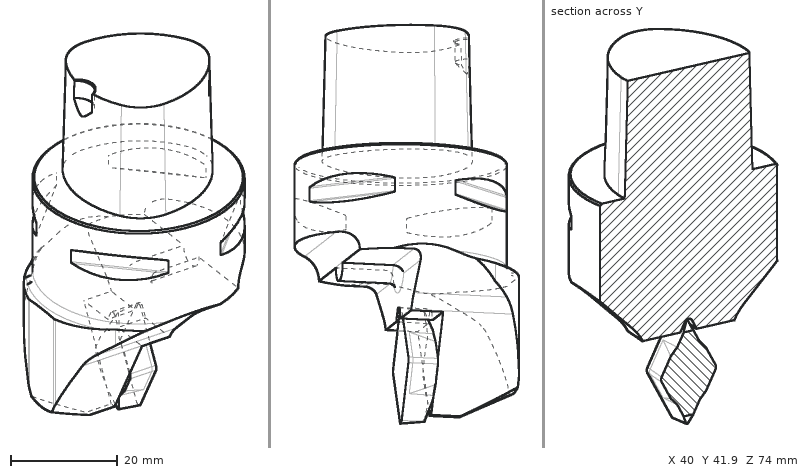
import cadquery as cq
import math


overall_depth = 41.9
overall_length = 74.0

shank_height = 24.0
shank_taper = 1.5
lobe_radius = 8.65
lobe_offset = 6.4
key_drill_radius = 3.4
key_drill_y = -14.0
key_drill_bottom = 20.0
key_drill_chamfer = 0.2

collar_diameter = 40.0
collar_bottom = -20.2
collar_chamfer = 0.4
slot_z = -8.1
slot_floor_distance = 17.7
slot_floor_height = 2.75
slot_mouth_height = 5.25
slot_corner_radius = 0.3

step_y = 11.9
step_edge_z = -16.05
step_drop = 0.3
step_corner_radius = 3.7

shaft_radius = 20.7
back_radius = 17.6
back_center_y = -4.8
shaft_front_y = 0.45
shaft_bottom = -48.2
shaft_edge_radius = 1.8
neck_radius = 1.2
shelf_outer_radius = 22.6
shelf_outer_z = -21.8
front_fillet_diameter = 3.5

flank_top_z = -19.3
flank_knee_x = 10.9
flank_knee_radius = 11.5

bevel_start_y = -11.5
bevel_angle = 25.4
bevel_round_radius = 11.85
bevel_half_width = 5.2
bevel_length = 16.3

rib_diameter = 5.25
rib_bottom = -23.15

half_angle = math.radians(27.5)
insert_half_width = 6.3
insert_thickness = 5.8
insert_relief = 7.0
insert_nose_radius = 0.8
insert_side_radius = 1.25
land_depth = 0.9
land_half_height = 5.9
land_end_angle = 42.0
land_end_taper = 5.9
bottom_slope_start = 6.5
bottom_slope_angle = 16.5

seat_y = -insert_thickness
seat_roof_z = -30.2

collar_radius = collar_diameter / 2
shaft_back_y = collar_radius - overall_depth
front_fillet_radius = front_fillet_diameter / 2
rib_radius = rib_diameter / 2
insert_half_length = insert_half_width / math.tan(half_angle)
nose_setback = insert_nose_radius * (1 / math.sin(half_angle) - 1)
insert_center_z = shank_height - overall_length + insert_half_length - nose_setback

quarter_mid = math.sin(math.radians(45))

outer_reach = 29.6
margin = 0.75


def lobed_wire():
    """Rounded triangle of constant width: each flank arc shares its centre with the opposite lobe."""
    flank_radius = lobe_radius + lobe_offset * math.sqrt(3)

    def point(center_angle, radius, direction):
        c = math.radians(center_angle)
        d = math.radians(direction)
        return (
            lobe_offset * math.cos(c) + radius * math.cos(d),
            lobe_offset * math.sin(c) + radius * math.sin(d),
        )

    outline = cq.Workplane("XY").moveTo(*point(90, lobe_radius, 60))
    for lobe in (90, 210, 330):
        outline = outline.threePointArc(point(lobe, lobe_radius, lobe), point(lobe, lobe_radius, lobe + 30))
        opposite = lobe + 240
        outline = outline.threePointArc(
            point(opposite, flank_radius, lobe + 60), point(opposite, flank_radius, lobe + 90)
        )
    return outline.close()


def make_shank():
    """Tapered shank with a pointed drill hole breaking out of its -Y side."""
    shank = lobed_wire().extrude(shank_height, taper=shank_taper)
    drill = (
        cq.Workplane("XZ")
        .moveTo(0, key_drill_bottom - key_drill_radius)
        .lineTo(key_drill_radius, key_drill_bottom)
        .lineTo(key_drill_radius, shank_height - key_drill_chamfer)
        .lineTo(key_drill_radius + key_drill_chamfer, shank_height)
        .lineTo(0, shank_height)
        .close()
        .revolve(360, (0, 0, 0), (0, 1, 0))
        .translate((0, key_drill_y, 0))
    )
    return shank.cut(drill)


def gripper_slot(angle):
    """Trapezoidal groove with its floor square to the given direction."""
    depth = collar_radius - slot_floor_distance
    flare = (slot_mouth_height - slot_floor_height) / 2 / depth
    mouth_distance = collar_radius + margin
    mouth_half = slot_floor_height / 2 + flare * (mouth_distance - slot_floor_distance)
    return (
        cq.Workplane("XZ")
        .polyline([
            (slot_floor_distance, slot_z - slot_floor_height / 2),
            (mouth_distance, slot_z - mouth_half),
            (mouth_distance, slot_z + mouth_half),
            (slot_floor_distance, slot_z + slot_floor_height / 2),
        ])
        .close()
        .extrude(collar_radius, both=True)
        .edges("<X")
        .fillet(slot_corner_radius)
        .rotate((0, 0, 0), (0, 0, 1), angle)
    )


def collar_step():
    """Cutter along X that removes the lower +Y edge of the collar."""
    r = step_corner_radius
    corner_z = step_edge_z - step_drop
    return (
        cq.Workplane("YZ")
        .moveTo(outer_reach, step_edge_z)
        .lineTo(collar_radius, step_edge_z)
        .lineTo(step_y + r, corner_z)
        .threePointArc(
            (step_y + r * (1 - quarter_mid), corner_z - r * (1 - quarter_mid)),
            (step_y, corner_z - r),
        )
        .lineTo(step_y, shaft_bottom)
        .lineTo(outer_reach, shaft_bottom)
        .close()
        .extrude(outer_reach, both=True)
    )


def make_collar():
    """Round collar with a chamfered top edge and four gripper slots."""
    collar = cq.Workplane("XY").circle(collar_radius).extrude(collar_bottom)
    collar = collar.faces(">Z").chamfer(collar_chamfer)
    for angle in (45, 135, 225, 315):
        collar = collar.cut(gripper_slot(angle))
    return collar


def make_shaft():
    """Round-backed shaft with a rear flat, widening from the collar over a filleted shelf."""
    height = collar_bottom - shaft_bottom
    base = cq.Workplane("XY", origin=(0, 0, shaft_bottom))
    back = base.center(0, back_center_y).circle(back_radius).extrude(height)
    column = base.circle(shaft_radius).extrude(height).union(back)
    slab = cq.Workplane("XY").box(
        2 * outer_reach, shaft_front_y - shaft_back_y, 2 * outer_reach, centered=(True, False, True)
    ).translate((0, shaft_back_y, shaft_bottom))
    column = column.intersect(slab)
    column = column.faces("<Y").edges("|Z").fillet(shaft_edge_radius)

    shelf = (
        cq.Workplane("XZ")
        .moveTo(0, collar_bottom)
        .lineTo(collar_radius, collar_bottom)
        .threePointArc(
            (collar_radius + neck_radius * (1 - quarter_mid), collar_bottom - neck_radius * quarter_mid),
            (collar_radius + neck_radius, collar_bottom - neck_radius),
        )
        .lineTo(shelf_outer_radius, shelf_outer_z)
        .lineTo(shelf_outer_radius, shaft_bottom)
        .lineTo(0, shaft_bottom)
        .close()
        .revolve(360, (0, 0, 0), (0, 1, 0))
    )
    return column.intersect(shelf)


def front_fillet():
    """Concave fillet along X between the front face of the shaft and the collar."""
    r = front_fillet_radius
    return (
        cq.Workplane("YZ")
        .moveTo(shaft_front_y, collar_bottom)
        .lineTo(shaft_front_y, collar_bottom - r)
        .threePointArc(
            (shaft_front_y + r * (1 - quarter_mid), collar_bottom - r * (1 - quarter_mid)),
            (shaft_front_y + r, collar_bottom),
        )
        .close()
        .extrude(collar_radius, both=True)
    )


def make_rib():
    """Round rib along Y, half sunk in the collar, flaring into the front face of the shaft."""
    r = front_fillet_radius
    return (
        cq.Workplane("XY")
        .moveTo(0, shaft_front_y)
        .lineTo(rib_radius + r, shaft_front_y)
        .threePointArc(
            (rib_radius + r * (1 - quarter_mid), shaft_front_y + r * (1 - quarter_mid)),
            (rib_radius, shaft_front_y + r),
        )
        .lineTo(rib_radius, step_y)
        .lineTo(0, step_y)
        .close()
        .revolve(360, (0, 0, 0), (0, 1, 0))
        .translate((0, 0, rib_bottom + rib_radius))
    )


def side_envelope():
    """Space inside the two 45 degree flanks and the tip wedge."""
    knee_z = flank_top_z - (collar_radius - flank_knee_x)
    tip_half_width = flank_knee_x - (knee_z - shaft_bottom) * math.tan(half_angle)
    right_side = [
        (collar_radius, shank_height),
        (collar_radius, flank_top_z),
        (flank_knee_x, knee_z),
        (tip_half_width, shaft_bottom),
    ]
    left_side = [(-x, z) for x, z in reversed(right_side)]
    envelope = cq.Workplane("XZ").polyline(right_side + left_side).close().extrude(outer_reach, both=True)
    knees = cq.selectors.BoxSelector(
        (-collar_radius, -margin, knee_z - margin), (collar_radius, margin, knee_z + margin)
    )
    return envelope.edges("|Y").edges(knees).fillet(flank_knee_radius)


def tip_bevel():
    """Cutter under a rounded surface that climbs from the shaft bottom toward the rear flat."""
    angle = math.radians(bevel_angle)
    direction = (0, -math.cos(angle), math.sin(angle))
    edge_rise = bevel_round_radius - math.sqrt(bevel_round_radius**2 - bevel_half_width**2)
    section = cq.Plane(
        origin=(0, bevel_start_y, shaft_bottom), xDir=(1, 0, 0), normal=direction
    )
    return (
        cq.Workplane(section)
        .workplane(offset=-margin)
        .moveTo(-bevel_half_width, edge_rise)
        .threePointArc((0, 0), (bevel_half_width, edge_rise))
        .lineTo(bevel_half_width, -bevel_length)
        .lineTo(-bevel_half_width, -bevel_length)
        .close()
        .extrude(bevel_length)
    )


def rhombus_prism(inset, depth, taper=0.0):
    """Rhombus with rounded corners, offset inward by the inset, running from Y = 0 toward -Y."""
    nose_radius = insert_nose_radius - inset
    side_radius = insert_side_radius - inset
    nose_center = insert_half_length - insert_nose_radius / math.sin(half_angle)
    side_center = insert_half_width - insert_side_radius / math.cos(half_angle)
    edge_x = math.cos(half_angle)
    edge_z = math.sin(half_angle)
    nose_tangent = (nose_radius * edge_x, nose_center + nose_radius * edge_z)
    side_tangent = (side_center + side_radius * edge_x, side_radius * edge_z)
    return (
        cq.Workplane("XZ", origin=(0, 0, insert_center_z))
        .moveTo(side_tangent[0], -side_tangent[1])
        .threePointArc((side_center + side_radius, 0), side_tangent)
        .lineTo(*nose_tangent)
        .threePointArc((0, nose_center + nose_radius), (-nose_tangent[0], nose_tangent[1]))
        .lineTo(-side_tangent[0], side_tangent[1])
        .threePointArc((-side_center - side_radius, 0), (-side_tangent[0], -side_tangent[1]))
        .lineTo(-nose_tangent[0], -nose_tangent[1])
        .threePointArc((0, -nose_center - nose_radius), (nose_tangent[0], -nose_tangent[1]))
        .close()
        .extrude(depth, taper=taper)
    )


def insert_end_slope():
    """Cutter that slopes the back face of the insert up toward its lower nose."""
    reach = insert_half_length - bottom_slope_start
    rise = reach * math.tan(math.radians(bottom_slope_angle))
    start_z = insert_center_z - bottom_slope_start
    return (
        cq.Workplane("YZ")
        .polyline([(seat_y, start_z), (seat_y + rise, start_z - reach), (seat_y, start_z - reach)])
        .close()
        .extrude(insert_half_width, both=True)
    )


def land_zone():
    """Blunter rhombus whose tapered sides ramp the ends of the side lands into the relieved flanks."""
    slope = math.tan(math.radians(land_end_angle))
    end_x = insert_half_width - land_half_height * math.tan(half_angle)
    half_width = end_x + land_half_height * slope
    half_height = half_width / slope
    return (
        cq.Workplane("XZ", origin=(0, 0, insert_center_z))
        .polyline([(half_width, 0), (0, half_height), (-half_width, 0), (0, -half_height)])
        .close()
        .extrude(insert_thickness, taper=land_end_taper)
    )


def make_insert():
    """Relieved rhombus with upright side lands and sloped back ends."""
    body = rhombus_prism(0, insert_thickness, insert_relief)
    land_inset = land_depth * math.tan(math.radians(insert_relief))
    body = body.union(rhombus_prism(land_inset, insert_thickness).intersect(land_zone()))
    lower_slope = insert_end_slope()
    upper_slope = lower_slope.mirror("XY", (0, 0, insert_center_z))
    return body.cut(lower_slope).cut(upper_slope)


def insert_seat():
    """Open space in front of the seat face, with a notch above it for the upper insert nose."""
    height = seat_roof_z - shaft_bottom
    opening = cq.Workplane("XY", origin=(0, seat_y, shaft_bottom)).box(
        2 * outer_reach, outer_reach, height, centered=(True, False, False)
    )
    notch = rhombus_prism(0, insert_thickness + shaft_front_y).translate((0, shaft_front_y, 0))
    return opening.union(notch)


def make_holder():
    """Shank, collar and shaft as one solid, trimmed and opened for the insert."""
    holder = make_collar().union(make_shaft()).union(front_fillet()).union(make_rib()).union(make_shank())
    holder = holder.cut(collar_step()).intersect(side_envelope())
    return holder.cut(tip_bevel()).cut(insert_seat())


holder = make_holder()
insert = make_insert()
result = cq.Compound.makeCompound([holder.solids().val(), insert.solids().val()])